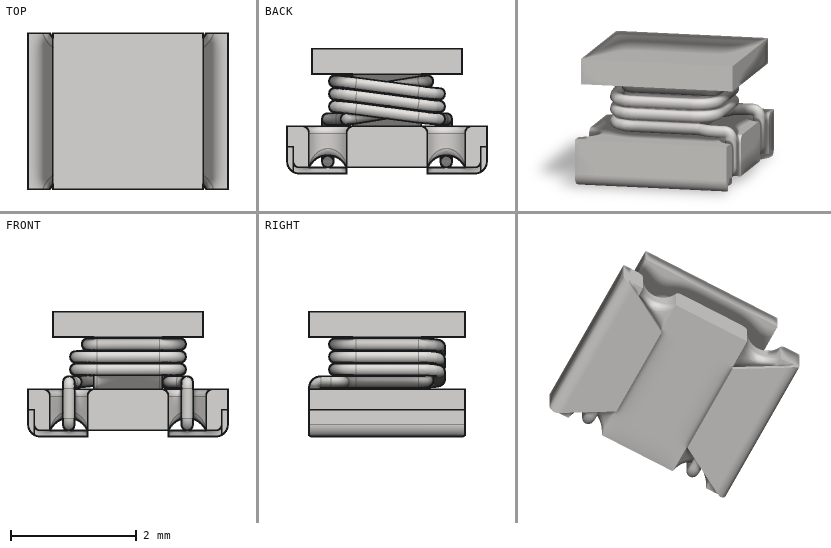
import cadquery as cq
import math


length = 3.2
width = 2.5
height = 2.0
base_top = 0.76
flange_length = 2.4
flange_thickness = 0.41
post_side = 1.1
post_corner_radius = 0.05

metal = 0.1
bend_radius = 2 * metal
terminal_height = 0.432
taper_angle = 30.0

lead_x = 0.947
passage_width = 0.6
passage_depth = 0.195
passage_edge_radius = 0.112

wire_diameter = 0.185
wire_gap = 0.003
turn_pitch = 0.2
levels = 4
elbow_radius = 0.1
lead_tail = 0.32
lead_straight = 0.16

base_bottom = metal
flange_bottom = height - flange_thickness
half_length = length / 2
half_width = width / 2
wire_radius = wire_diameter / 2
passage_radius = ((passage_width / 2) ** 2 + passage_depth ** 2) / (2 * passage_depth)
passage_center_offset = passage_radius - passage_depth
foot_end_x = lead_x - passage_width / 2

corner = post_side / 2 - post_corner_radius
inner_radius = post_corner_radius + wire_gap + wire_radius
outer_radius = inner_radius + wire_diameter + wire_gap
inner_reach = corner + inner_radius
outer_reach = corner + outer_radius
first_level_z = (base_top + flange_bottom - (levels - 1) * turn_pitch) / 2

lead_y = wire_radius - half_width
elbow_y = lead_y + elbow_radius
lead_start_y = elbow_y + lead_straight
tail_z = base_bottom + wire_radius


def make_terminal_blank(side):
    """L-shaped strip across the full width; side is -1 or +1 along X."""
    outline = (
        cq.Workplane("XZ", origin=(0, half_width, 0))
        .moveTo(side * foot_end_x, 0)
        .lineTo(side * (half_length - bend_radius), 0)
        .tangentArcPoint((side * half_length, bend_radius), relative=False)
        .lineTo(side * half_length, terminal_height)
        .lineTo(side * (half_length - metal), terminal_height)
        .lineTo(side * (half_length - metal), bend_radius)
        .tangentArcPoint((side * (half_length - bend_radius), metal), relative=False)
        .lineTo(side * foot_end_x, metal)
        .close()
    )
    return outline.extrude(width)


def make_terminal(side):
    """Terminal whose foot narrows from the inside of its upright toward its free end."""
    wide_x = half_length - metal
    inset = (wide_x - foot_end_x) * math.tan(math.radians(taper_angle))
    terminal = make_terminal_blank(side)
    for end in (-1, 1):
        corner_waste = (
            cq.Workplane("XY")
            .moveTo(side * wide_x, end * half_width)
            .lineTo(side * foot_end_x, end * half_width)
            .lineTo(side * foot_end_x, end * (half_width - inset))
            .close()
            .extrude(bend_radius)
        )
        terminal = terminal.cut(corner_waste)
    return terminal


def make_base_blank():
    """Base block, stepped in at both ends to seat the terminals."""
    seat_x = half_length - metal
    seat_corner_x = half_length - bend_radius
    outline = (
        cq.Workplane("XZ", origin=(0, half_width, 0))
        .moveTo(-seat_corner_x, base_bottom)
        .lineTo(seat_corner_x, base_bottom)
        .tangentArcPoint((seat_x, bend_radius), relative=False)
        .lineTo(seat_x, terminal_height)
        .lineTo(half_length, terminal_height)
        .lineTo(half_length, base_top)
        .lineTo(-half_length, base_top)
        .lineTo(-half_length, terminal_height)
        .lineTo(-seat_x, terminal_height)
        .lineTo(-seat_x, bend_radius)
        .tangentArcPoint((-seat_corner_x, base_bottom), relative=False)
        .close()
    )
    return outline.extrude(width)


def make_base():
    """Base with a notch at each wire position and a groove underneath between front and back notches."""
    base = make_base_blank()
    for side in (-1, 1):
        for end in (-1, 1):
            notch = (
                cq.Workplane("XY", origin=(side * lead_x, end * (half_width + passage_center_offset), 0))
                .circle(passage_radius)
                .extrude(height)
            )
            base = base.cut(notch)
        groove = (
            cq.Workplane("XZ", origin=(side * lead_x, half_width, base_bottom - passage_center_offset))
            .circle(passage_radius)
            .extrude(width)
        )
        base = base.cut(groove)
    base = base.edges("%ELLIPSE").fillet(passage_edge_radius)
    return base.faces(">Z").edges("%CIRCLE").fillet(passage_edge_radius)


def make_core():
    """Drum core: base, rounded square post and top flange in one piece."""
    post = (
        cq.Workplane("XY", origin=(0, 0, base_top))
        .rect(post_side, post_side)
        .extrude(flange_bottom - base_top)
        .edges("|Z")
        .fillet(post_corner_radius)
    )
    flange = cq.Workplane("XY", origin=(0, 0, flange_bottom)).box(
        flange_length, width, flange_thickness, centered=(True, True, False)
    )
    return make_base().union(post).union(flange)


def line(start, end):
    return cq.Edge.makeLine(cq.Vector(*start), cq.Vector(*end))


def bend(start, direction, end):
    """Arc leaving start along direction."""
    return cq.Edge.makeTangentArc(cq.Vector(*start), cq.Vector(*direction), cq.Vector(*end))


def level_z(level):
    return first_level_z + (level - 1) * turn_pitch


def back_run(radius, left_level, right_level):
    """Corner, sloping straight and corner behind the post, from the left side to the right side."""
    reach = corner + radius
    straight = 2 * corner
    rise = (right_level - left_level) * turn_pitch
    slope = rise / (straight + radius * math.pi / 2)
    corner_rise = (rise - slope * straight) / 2
    diagonal = radius * math.sqrt(0.5)
    left_z = level_z(left_level)
    right_z = level_z(right_level)
    left_end = (-corner, reach, left_z + corner_rise)
    right_end = (corner, reach, right_z - corner_rise)
    left_corner = cq.Edge.makeSpline(
        [
            cq.Vector(-reach, corner, left_z),
            cq.Vector(-corner - diagonal, corner + diagonal, left_z + corner_rise / 4),
            cq.Vector(*left_end),
        ],
        tangents=[cq.Vector(0, 1, 0), cq.Vector(1, 0, slope)],
    )
    right_corner = cq.Edge.makeSpline(
        [
            cq.Vector(*right_end),
            cq.Vector(corner + diagonal, corner + diagonal, right_z - corner_rise / 4),
            cq.Vector(reach, corner, right_z),
        ],
        tangents=[cq.Vector(1, 0, slope), cq.Vector(0, -1, 0)],
    )
    return [left_corner, line(left_end, right_end), right_corner]


def front_run(level, radius, left_radius):
    """Level run down the right side, across the front and back along the left side.

    It comes in on the layer of one corner radius and leaves on the layer of left_radius.
    """
    reach = corner + radius
    left_reach = corner + left_radius
    turn_y = left_radius - reach
    z = level_z(level)
    return [
        line((reach, corner, z), (reach, -corner, z)),
        bend((reach, -corner, z), (0, -1, 0), (corner, -reach, z)),
        line((corner, -reach, z), (-corner, -reach, z)),
        bend((-corner, -reach, z), (-1, 0, 0), (-left_reach, turn_y, z)),
        line((-left_reach, turn_y, z), (-left_reach, corner, z)),
    ]


def lead_drop(x):
    """Lead from its tail on the terminal up to its straight start at the first level."""
    z = first_level_z
    low_z = tail_z + elbow_radius
    high_z = z - elbow_radius
    return [
        line((x, elbow_y + lead_tail, tail_z), (x, elbow_y, tail_z)),
        bend((x, elbow_y, tail_z), (0, -1, 0), (x, lead_y, low_z)),
        line((x, lead_y, low_z), (x, lead_y, high_z)),
        bend((x, lead_y, high_z), (0, 0, 1), (x, elbow_y, z)),
        line((x, elbow_y, z), (x, lead_start_y, z)),
    ]


def lead_jog(x, side_x):
    """Two equal, opposite arcs from the lead at x back to the coil side at side_x, then that side's run."""
    z = first_level_z
    lead_end = (x, lead_start_y, z)
    middle = ((x + side_x) / 2, (lead_start_y - corner) / 2, z)
    side_start = (side_x, -corner, z)
    return [
        bend(lead_end, (0, 1, 0), middle),
        bend(side_start, (0, -1, 0), middle),
        line(side_start, (side_x, corner, z)),
    ]


def lead(x, side_x):
    """Whole lead, from its tail to the back end of the coil side it joins."""
    return lead_drop(x) + lead_jog(x, side_x)


def make_wire():
    """One wire: left lead, outer layer winding up, inner layer winding down, right lead."""
    edges = lead(-lead_x, -outer_reach)
    for level in range(2, levels):
        edges += back_run(outer_radius, level - 1, level)
        edges += front_run(level, outer_radius, outer_radius)
    edges += back_run(outer_radius, levels - 1, levels)
    edges += front_run(levels, outer_radius, inner_radius)
    for level in range(levels - 1, 1, -1):
        edges += back_run(inner_radius, level + 1, level)
        edges += front_run(level, inner_radius, inner_radius)
    edges += back_run(inner_radius, 2, 1)
    edges += lead(lead_x, inner_reach)[::-1]
    path = cq.Wire.assembleEdges(edges)
    section = cq.Workplane("XZ", origin=(-lead_x, elbow_y + lead_tail, tail_z)).circle(wire_radius)
    return section.sweep(cq.Workplane(path))


core = make_core()
coil = make_wire()
terminals = [make_terminal(side) for side in (-1, 1)]

result = cq.Compound.makeCompound([core.val(), coil.val(), *[terminal.val() for terminal in terminals]])